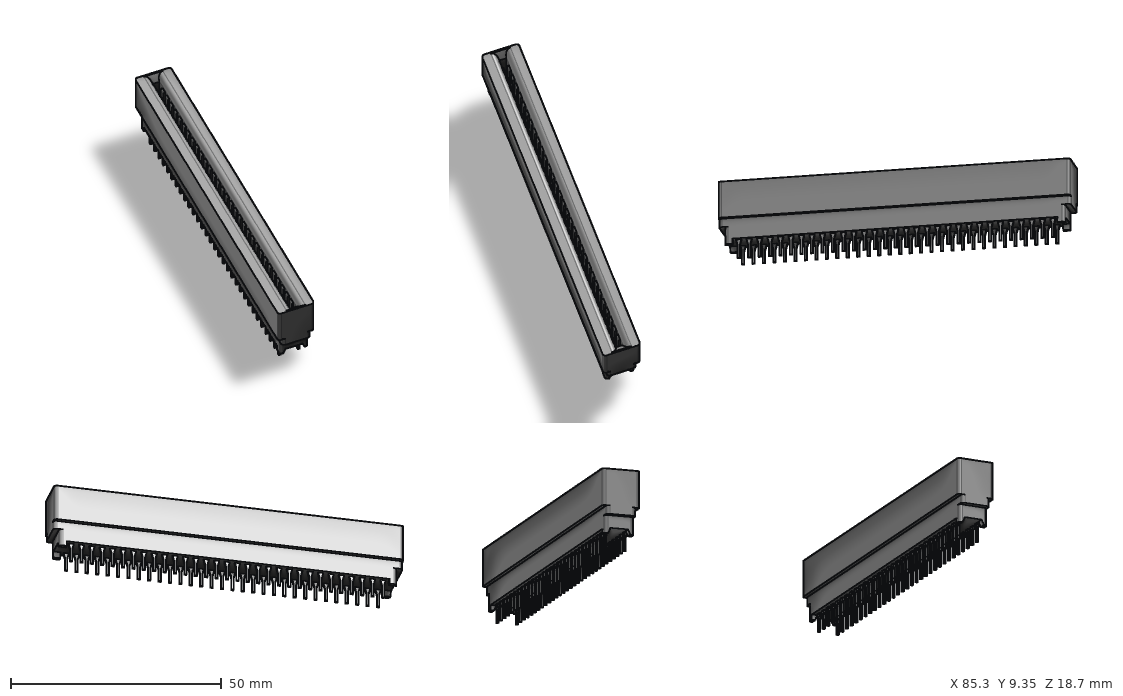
import cadquery as cq
import math

LENGTH = 85.34
WIDTH = 9.35
HEIGHT = 18.67

PITCH = 2.54
POSITIONS = 31
ROW_SPACING = 4.9

CORNER_RADIUS = 0.76
UPPER_HEIGHT = 9.0
SKIRT_HEIGHT = 2.05
BASE_HEIGHT = 3.05
NARROW_WIDTH = 7.35
BASE_LENGTH = 82.5

FOOT_HEIGHT = 1.25
FOOT_LENGTH = 1.8
FOOT_WIDTH = 0.9
FOOT_FLARE = 0.6

PIN_WIDTH = 0.56
PIN_THICKNESS = 0.46
SHOULDER_WIDTH = 1.3
SHOULDER_HEIGHT = 1.4

SLOT_LENGTH = 81.3
SLOT_WIDTH = 1.8
SLOT_DEPTH = 8.0
LIP_RADIUS = 1.54
END_SLOPE_LENGTH = 1.65
END_SLOPE_DEPTH = LIP_RADIUS

CONTACT_WIDTH = 1.5
CONTACT_RADIUS = 0.46
CONTACT_TOP_DEPTH = 2.0

BASE_Z = FOOT_HEIGHT
SKIRT_Z = BASE_Z + BASE_HEIGHT
UPPER_Z = SKIRT_Z + SKIRT_HEIGHT
TOP_Z = UPPER_Z + UPPER_HEIGHT
PIN_TIP_Z = TOP_Z - HEIGHT

EMBED = 0.3

PIN_XS = [(i - (POSITIONS - 1) / 2) * PITCH for i in range(POSITIONS)]


def rounded_block(length, width, bottom, top):
    block = cq.Workplane("XY").workplane(offset=bottom).rect(length, width).extrude(top - bottom)
    return block.edges("|Z").fillet(CORNER_RADIUS)


def make_housing():
    upper = rounded_block(LENGTH, WIDTH, UPPER_Z, TOP_Z)
    skirt = rounded_block(LENGTH, NARROW_WIDTH, SKIRT_Z, UPPER_Z)
    base = rounded_block(BASE_LENGTH, NARROW_WIDTH, 0, SKIRT_Z)
    gap_half_width = NARROW_WIDTH / 2 - FOOT_WIDTH
    along = (
        cq.Workplane("YZ")
        .moveTo(-gap_half_width, 0)
        .lineTo(gap_half_width, 0)
        .lineTo(gap_half_width - FOOT_FLARE, FOOT_HEIGHT)
        .lineTo(-gap_half_width + FOOT_FLARE, FOOT_HEIGHT)
        .close()
        .extrude(LENGTH / 2, both=True)
    )
    across = cq.Workplane("XY").box(
        BASE_LENGTH - 2 * FOOT_LENGTH, WIDTH, FOOT_HEIGHT, centered=(True, True, False)
    )
    return upper.union(skirt).union(base.cut(along).cut(across))


def make_slot():
    """Common volume of the lipped cross-section and the end-sloped lengthwise profile."""
    half_width = SLOT_WIDTH / 2
    rim_half_width = half_width + LIP_RADIUS
    floor_z = TOP_Z - SLOT_DEPTH
    lip_z = TOP_Z - LIP_RADIUS
    arc_inset = LIP_RADIUS * (1 - math.sqrt(0.5))
    rim_half_length = SLOT_LENGTH / 2 + END_SLOPE_LENGTH
    cross_section = (
        cq.Workplane("YZ")
        .moveTo(-half_width, floor_z)
        .lineTo(half_width, floor_z)
        .lineTo(half_width, lip_z)
        .threePointArc((half_width + arc_inset, TOP_Z - arc_inset), (rim_half_width, TOP_Z))
        .lineTo(-rim_half_width, TOP_Z)
        .threePointArc((-half_width - arc_inset, TOP_Z - arc_inset), (-half_width, lip_z))
        .close()
        .extrude(LENGTH / 2, both=True)
    )
    lengthwise = (
        cq.Workplane("XZ")
        .moveTo(-SLOT_LENGTH / 2, floor_z)
        .lineTo(SLOT_LENGTH / 2, floor_z)
        .lineTo(SLOT_LENGTH / 2, TOP_Z - END_SLOPE_DEPTH)
        .lineTo(rim_half_length, TOP_Z)
        .lineTo(-rim_half_length, TOP_Z)
        .lineTo(-SLOT_LENGTH / 2, TOP_Z - END_SLOPE_DEPTH)
        .close()
        .extrude(WIDTH / 2, both=True)
    )
    return cross_section.intersect(lengthwise)


def make_contact(x, side):
    """Contact on the slot wall at side * Y, rounded over towards the slot."""
    wall_y = side * SLOT_WIDTH / 2
    face_y = wall_y - side * CONTACT_RADIUS
    root_y = wall_y + side * EMBED
    top = TOP_Z - CONTACT_TOP_DEPTH
    bottom = TOP_Z - SLOT_DEPTH - EMBED
    arc_reach = CONTACT_RADIUS * math.sqrt(0.5)
    return (
        cq.Workplane("YZ", origin=(x, 0, 0))
        .moveTo(root_y, bottom)
        .lineTo(face_y, bottom)
        .lineTo(face_y, top - CONTACT_RADIUS)
        .threePointArc((wall_y - side * arc_reach, top - CONTACT_RADIUS + arc_reach), (wall_y, top))
        .lineTo(root_y, top)
        .close()
        .extrude(CONTACT_WIDTH / 2, both=True)
        .val()
    )


def make_pin(x, side):
    """Solder pin whose shoulder tapers down from the base to the tail."""
    half_pin = PIN_WIDTH / 2
    half_shoulder = SHOULDER_WIDTH / 2
    shoulder_z = BASE_Z - SHOULDER_HEIGHT
    return (
        cq.Workplane("XZ", origin=(x, side * ROW_SPACING / 2, 0))
        .moveTo(-half_pin, PIN_TIP_Z)
        .lineTo(half_pin, PIN_TIP_Z)
        .lineTo(half_pin, shoulder_z)
        .lineTo(half_shoulder, BASE_Z)
        .lineTo(half_shoulder, BASE_Z + EMBED)
        .lineTo(-half_shoulder, BASE_Z + EMBED)
        .lineTo(-half_shoulder, BASE_Z)
        .lineTo(-half_pin, shoulder_z)
        .close()
        .extrude(PIN_THICKNESS / 2, both=True)
        .val()
    )


contacts_and_pins = []
for pin_x in PIN_XS:
    for row_side in (-1, 1):
        contacts_and_pins.append(make_contact(pin_x, row_side))
        contacts_and_pins.append(make_pin(pin_x, row_side))

housing = make_housing().cut(make_slot())
result = cq.Workplane("XY").newObject([housing.val().fuse(*contacts_and_pins)])